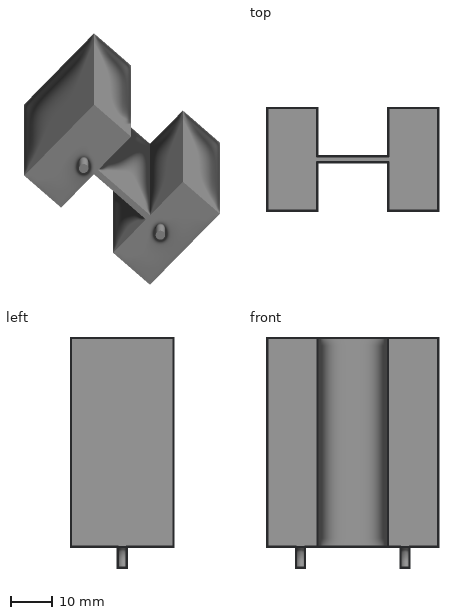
import cadquery as cq

overall_width = 41.6
overall_depth = 25.0
overall_height = 55.9

pin_diameter = 2.3
pin_length = 5.1
pin_spacing = 25.4

gap_width = 17.2
web_thickness = 1.5

housing_height = overall_height - pin_length
slot_depth = (overall_depth - web_thickness) / 2
slot_offset = (web_thickness + slot_depth) / 2


def make_housing():
    """H-shaped prism: a box with a full-height slot cut into its front and back."""
    box = cq.Workplane("XY").rect(overall_width, overall_depth).extrude(housing_height)
    slots = (
        cq.Workplane("XY")
        .pushPoints([(0, -slot_offset), (0, slot_offset)])
        .rect(gap_width, slot_depth)
        .extrude(housing_height)
    )
    return box.cut(slots)


def make_pin(center_x):
    """Round pin that meets the underside of the housing and hangs below it."""
    return (
        cq.Workplane("XY")
        .center(center_x, 0)
        .circle(pin_diameter / 2)
        .extrude(-pin_length)
    )


housing = make_housing()
pins = [make_pin(side * pin_spacing / 2) for side in (-1, 1)]

result = cq.Compound.makeCompound([housing.val(), *[pin.val() for pin in pins]])